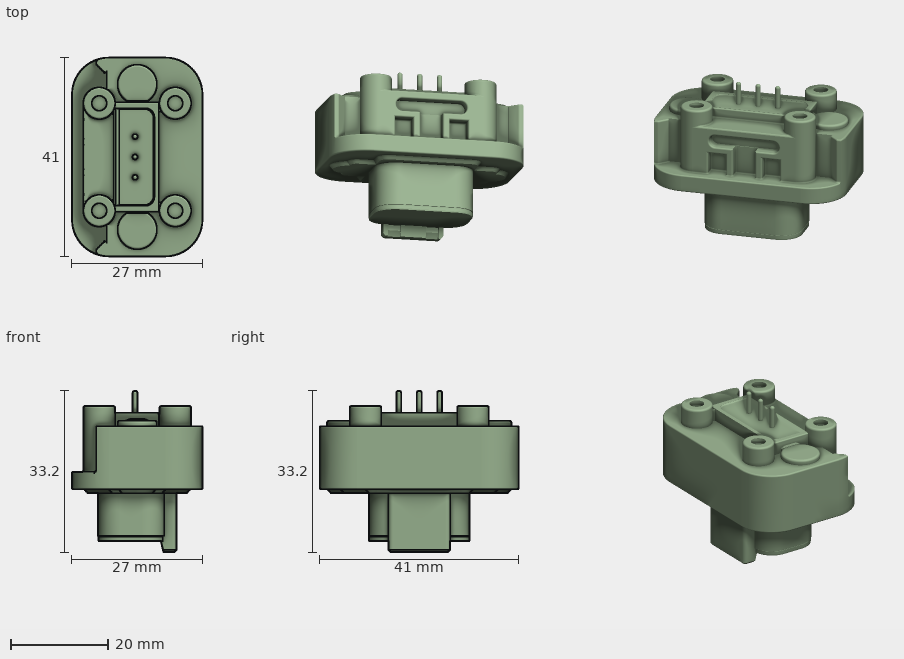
import cadquery as cq

FLANGE_TOP = 3.6
BODY_TOP = 13.05
PAD_TOP = 14.15
BLOCK_TOP = 13.8
TERMINAL_TOP = 15.8
POST_TOP = 17.2
PIN_TOP = 20.3
LIP_BOTTOM = -0.78
PLUG_STEP = -9.6
PLUG_BOTTOM = -10.65
TAB_BOTTOM = -12.95
OVERLAP = 0.4

BODY_WIDTH = 26.95
BODY_LENGTH = 41
BODY_CORNER = 7.67
EDGE_ROUND = 0.33
BASE_ROUND = 0.3
CUT_OUTER_X = -8.5
CUT_INNER_X = -6.3
CUT_INNER_Y = 17.4
CUT_STEP_X = -6.75
CUT_BEND_ROUND = 0.5

POST_X = 7.85
POST_Y = 11.08
POST_RADIUS = 3.3
POST_ROUND = 0.45
HOLE_DIAMETER = 3.08
HOLE_DEPTH = 1.1
BLOCK_FACE = -POST_X - POST_RADIUS
BLOCK_OVERLAP = 2.05
BLOCK_BACK = CUT_INNER_X + BLOCK_OVERLAP

RECESS_DEPTH = 2.45
CHANNEL_DEPTH = 2.2
CHANNEL_HALF = 2.4
WINDOW_INNER_Y = 3.85
WINDOW_OUTER_Y = 7.75
WINDOW_TOP = 8.2
SLOT_LENGTH = 15.0
SLOT_BOTTOM = 9.55
SLOT_TOP = 12.22

TERMINAL_LEFT = -4.85
TERMINAL_RIGHT = 4.45
TERMINAL_HALF = 11.25
TERMINAL_ROUND = 0.25
GUSSET_RIGHT = 5.35
GUSSET_INNER_Y = 9.35
TRAY_LEFT = -4.45
TRAY_RIGHT = 3.55
TRAY_HALF = 10.1
TRAY_CORNER = 2.0
TRAY_DEPTH = 0.25
TRAY_SLOPE = 0.75
TRAY_BEVEL = 0.225
PIN_X = -0.45
PIN_PITCH = 4.205
PIN_RADIUS = 0.55
PIN_TIP_ROUND = 0.5

PAD_Y = 14.97
PAD_RADIUS = 4.05
PAD_ROUND = 0.5
BRIDGE_HALF = 2.3
BRIDGE_CREST_HALF = 1.4
BRIDGE_TOP = 14.52
BRIDGE_DEPTH = 0.35
BRIDGE_BEVEL = 0.3

LIP_WIDTH = 21.82
LIP_LENGTH = 2 * POST_Y
LIP_CORNER = 2.38
LIP_NECK_WIDTH = 11.75
LIP_NECK_LENGTH = 32.4
LIP_NECK_CORNER = 2.05
LIP_END_RADIUS = 3.95
LIP_TAPER = 42

PLUG_LEFT = -8.12
PLUG_RIGHT = 5.58
PLUG_LENGTH = 20.75
PLUG_CORNER = 4.47
NOSE_LEFT = -8.0
NOSE_RIGHT = 5.3
NOSE_BEVEL_HEIGHT = 0.25
NOSE_BEVEL_DEPTH = 0.05
GROOVE_HEIGHT = 0.15
GROOVE_DEPTH = 0.15
TAB_RIGHT = 8.12
TAB_HALF = 6.35
TAB_CORNER = 0.9
TAB_BEVEL = 0.5
TAB_ROOT_X = 4.85
TAB_TIP_X = 5.4
POCKET_INNER_Y = 2.65
POCKET_OUTER_Y = 5.35
LEAD_IN_HEIGHT = 1.2
LEAD_IN_DEPTH = 0.6


def box(x0, x1, y0, y1, z0, z1):
    """Box between two corners."""
    return cq.Workplane("XY").box(x1 - x0, y1 - y0, z1 - z0, centered=False).translate((x0, y0, z0))


def rounded_box(x0, x1, length, z0, z1, corner):
    """Box centred on Y with rounded upright edges."""
    return box(x0, x1, -length / 2, length / 2, z0, z1).edges("|Z").fillet(corner)


def extrude_along_y(points, y0, y1):
    """Prism between y0 and y1 with an outline given as (x, z) points."""
    return cq.Workplane("XZ", origin=(0, y1, 0)).polyline(points).close().extrude(y1 - y0)


def at_height(z, x0, x1, y0, y1):
    """Selector for edges centred inside a thin layer at height z."""
    thin = 0.005
    return cq.selectors.BoxSelector((x0, y0, z - thin), (x1, y1, z + thin))


def make_recesses():
    """Centre channel, long slot and two windows, all with rounded back corners."""
    front = BLOCK_FACE - 0.4
    back = BLOCK_FACE + RECESS_DEPTH
    slot_height = SLOT_TOP - SLOT_BOTTOM
    slot_middle = (SLOT_TOP + SLOT_BOTTOM) / 2
    recesses = (
        cq.Workplane("YZ", origin=(front, 0, slot_middle))
        .slot2D(SLOT_LENGTH, slot_height)
        .extrude(back - front)
    )
    channel = box(front, BLOCK_FACE + CHANNEL_DEPTH, -CHANNEL_HALF, CHANNEL_HALF, FLANGE_TOP, slot_middle)
    recesses = recesses.union(channel.edges(">X and |Z").fillet(EDGE_ROUND))
    window = box(front, back, WINDOW_INNER_Y, WINDOW_OUTER_Y, FLANGE_TOP, WINDOW_TOP)
    window = window.edges(">X and (not <Z)").fillet(EDGE_ROUND)
    return recesses.union(window).union(window.mirror("XZ"))


def make_post(x, y, bottom):
    post = cq.Workplane("XY", origin=(x, y, bottom)).circle(POST_RADIUS).extrude(POST_TOP - bottom)
    return post.faces(">Z").edges().fillet(POST_ROUND)


def make_post_block():
    """Block and both -X posts standing on the flange, with rounded face edges."""
    block = box(BLOCK_FACE, BLOCK_BACK, -POST_Y, POST_Y, FLANGE_TOP, BLOCK_TOP)
    block = block.edges("<X and >Z").fillet(EDGE_ROUND)
    block = block.cut(make_recesses())
    face_edges = cq.selectors.BoxSelector(
        (BLOCK_FACE - 0.005, -POST_Y + 0.4, FLANGE_TOP + 0.05),
        (BLOCK_FACE + 0.005, POST_Y - 0.4, BLOCK_TOP - 0.6),
    )
    block = block.edges(face_edges).fillet(EDGE_ROUND)
    for y in (-POST_Y, POST_Y):
        block = block.union(make_post(-POST_X, y, FLANGE_TOP))
    return block


def make_screw_holes():
    """Blind holes in the four post tops."""
    return (
        cq.Workplane("XY", origin=(0, 0, POST_TOP - HOLE_DEPTH))
        .rect(2 * POST_X, 2 * POST_Y, forConstruction=True)
        .vertices()
        .circle(HOLE_DIAMETER / 2)
        .extrude(HOLE_DEPTH)
    )


def make_body():
    """Full-height body whose -X side is cut down to the flange around the posts."""
    half_width = BODY_WIDTH / 2
    bend_y = CUT_INNER_Y + CUT_STEP_X - CUT_OUTER_X
    outside = BODY_LENGTH
    half_cut = [
        (CUT_INNER_X, CUT_INNER_Y),
        (CUT_STEP_X, CUT_INNER_Y),
        (CUT_OUTER_X, bend_y),
        (CUT_OUTER_X, outside),
        (-outside, outside),
    ]
    cut_points = half_cut + [(x, -y) for x, y in reversed(half_cut)]
    cut = cq.Workplane("XY", origin=(0, 0, FLANGE_TOP)).polyline(cut_points).close().extrude(BODY_TOP)
    for y in (-bend_y, bend_y):
        bend = cq.selectors.NearestToPointSelector((CUT_OUTER_X, y, FLANGE_TOP + BODY_TOP / 2))
        cut = cut.edges(bend).fillet(CUT_BEND_ROUND)

    body = rounded_box(-half_width, half_width, BODY_LENGTH, 0, BODY_TOP, BODY_CORNER).cut(cut)
    rim = cq.selectors.SubtractSelector(
        at_height(BODY_TOP, -BODY_WIDTH, BODY_WIDTH, -BODY_LENGTH, BODY_LENGTH),
        at_height(BODY_TOP, CUT_INNER_X - 0.05, CUT_INNER_X + 0.05, -CUT_INNER_Y, CUT_INNER_Y),
    )
    body = body.edges(rim).fillet(EDGE_ROUND)
    return body.faces("<Z").edges().fillet(EDGE_ROUND)


def make_terminal():
    """Terminal housing with a shallow bevelled tray in its top."""
    bottom = BODY_TOP - OVERLAP
    terminal = box(TERMINAL_LEFT, TERMINAL_RIGHT, -TERMINAL_HALF, TERMINAL_HALF, bottom, TERMINAL_TOP)
    terminal = terminal.edges(">Z and (<X or <Y or >Y)").fillet(TERMINAL_ROUND)
    tray_floor = TERMINAL_TOP - TRAY_DEPTH
    tray = box(TRAY_LEFT, TRAY_RIGHT, -TRAY_HALF, TRAY_HALF, tray_floor, TERMINAL_TOP)
    tray = tray.edges(">X and |Z").fillet(TRAY_CORNER)
    tray = tray.faces("<Z").edges("not <X").chamfer(TRAY_BEVEL)
    slope_points = [
        (TRAY_LEFT, TERMINAL_TOP),
        (TRAY_LEFT, tray_floor),
        (TRAY_LEFT + TRAY_SLOPE, tray_floor),
    ]
    slope = extrude_along_y(slope_points, -TRAY_HALF, TRAY_HALF)
    terminal = terminal.cut(tray.cut(slope))
    gusset = box(
        TRAY_RIGHT + TERMINAL_ROUND,
        GUSSET_RIGHT,
        GUSSET_INNER_Y,
        TERMINAL_HALF - TERMINAL_ROUND,
        bottom,
        TERMINAL_TOP - TERMINAL_ROUND,
    )
    terminal = terminal.union(gusset).union(gusset.mirror("XZ"))
    for step in (-1, 0, 1):
        pin = (
            cq.Workplane("XY", origin=(PIN_X, step * PIN_PITCH, BODY_TOP))
            .circle(PIN_RADIUS)
            .extrude(PIN_TOP - BODY_TOP)
        )
        terminal = terminal.union(pin.faces(">Z").edges().fillet(PIN_TIP_ROUND))
    return terminal


def make_pad():
    """Pad at the +Y end with the web that joins it to the terminal housing."""
    bottom = BODY_TOP - OVERLAP
    pad = cq.Workplane("XY", origin=(0, PAD_Y, bottom)).circle(PAD_RADIUS).extrude(PAD_TOP - bottom)
    pad = pad.faces(">Z").edges().fillet(PAD_ROUND)
    web_points = [
        (-BRIDGE_HALF, bottom),
        (-BRIDGE_HALF, PAD_TOP),
        (-BRIDGE_CREST_HALF, BRIDGE_TOP),
        (BRIDGE_CREST_HALF, BRIDGE_TOP),
        (BRIDGE_HALF, PAD_TOP),
        (BRIDGE_HALF, bottom),
    ]
    web = extrude_along_y(web_points, TERMINAL_HALF - BRIDGE_DEPTH, TERMINAL_HALF + BRIDGE_DEPTH)
    return pad.union(web.edges(">Y and >Z").chamfer(BRIDGE_BEVEL))


def make_lip():
    """Lip under the flange: wide middle, narrower neck and a round bulge at each end."""
    depth = -LIP_BOTTOM
    base = cq.Workplane("XY").workplane(invert=True)
    middle = cq.Sketch().rect(LIP_WIDTH, LIP_LENGTH).vertices().fillet(LIP_CORNER)
    neck = cq.Sketch().rect(LIP_NECK_WIDTH, LIP_NECK_LENGTH).vertices().fillet(LIP_NECK_CORNER)
    lip = base.placeSketch(middle).extrude(depth, taper=LIP_TAPER)
    lip = lip.union(base.placeSketch(neck).extrude(depth, taper=LIP_TAPER))
    ends = base.pushPoints([(0, PAD_Y), (0, -PAD_Y)]).circle(LIP_END_RADIUS)
    return lip.union(ends.extrude(depth, taper=LIP_TAPER))


def make_tab():
    """Latch tab with a sloping inner face and two lead-in pockets."""
    profile = [
        (TAB_ROOT_X, 0),
        (TAB_ROOT_X, PLUG_BOTTOM),
        (TAB_TIP_X, TAB_BOTTOM),
        (TAB_RIGHT, TAB_BOTTOM),
        (TAB_RIGHT, 0),
    ]
    tab = extrude_along_y(profile, -TAB_HALF, TAB_HALF)
    tab = tab.edges(">X and |Z").fillet(TAB_CORNER)
    tab = tab.faces("<Z").edges("not <X").chamfer(TAB_BEVEL)
    lead_in_z = TAB_BOTTOM + LEAD_IN_HEIGHT
    pocket_profile = [
        (TAB_ROOT_X, TAB_BOTTOM),
        (TAB_ROOT_X, PLUG_BOTTOM),
        (TAB_TIP_X, PLUG_BOTTOM),
        (TAB_TIP_X, lead_in_z),
        (TAB_TIP_X + LEAD_IN_DEPTH, TAB_BOTTOM),
    ]
    pocket = extrude_along_y(pocket_profile, POCKET_INNER_Y, POCKET_OUTER_Y)
    return tab.cut(pocket).cut(pocket.mirror("XZ"))


def make_plug():
    plug = rounded_box(PLUG_LEFT, PLUG_RIGHT, PLUG_LENGTH, PLUG_STEP, 0, PLUG_CORNER)
    groove_bottom = PLUG_STEP - GROOVE_HEIGHT
    nose = rounded_box(NOSE_LEFT, NOSE_RIGHT, PLUG_LENGTH, PLUG_BOTTOM, groove_bottom, PLUG_CORNER)
    nose = nose.faces("<Z").edges().chamfer(NOSE_BEVEL_HEIGHT, NOSE_BEVEL_DEPTH)
    groove_core = rounded_box(
        NOSE_LEFT + GROOVE_DEPTH,
        NOSE_RIGHT - GROOVE_DEPTH,
        PLUG_LENGTH - 2 * GROOVE_DEPTH,
        groove_bottom,
        PLUG_STEP,
        PLUG_CORNER - GROOVE_DEPTH,
    )
    return plug.union(nose).union(groove_core).union(make_tab())


result = make_body().union(make_post_block())
flange_edges = at_height(FLANGE_TOP, -BODY_WIDTH, CUT_INNER_X - 0.05, -BODY_LENGTH, BODY_LENGTH)
result = result.edges(flange_edges).fillet(BASE_ROUND)

for side in (-1, 1):
    result = result.union(make_post(POST_X, side * POST_Y, BODY_TOP - OVERLAP))
result = result.union(make_terminal())
shelf_edges = at_height(BLOCK_TOP, BLOCK_FACE + POST_ROUND, TERMINAL_LEFT + 0.05, -POST_Y, POST_Y)
result = result.edges(shelf_edges).fillet(BASE_ROUND)

pad = make_pad()
result = result.union(pad).union(pad.mirror("XZ"))
result = result.union(make_lip()).union(make_plug())
result = result.cut(make_screw_holes())